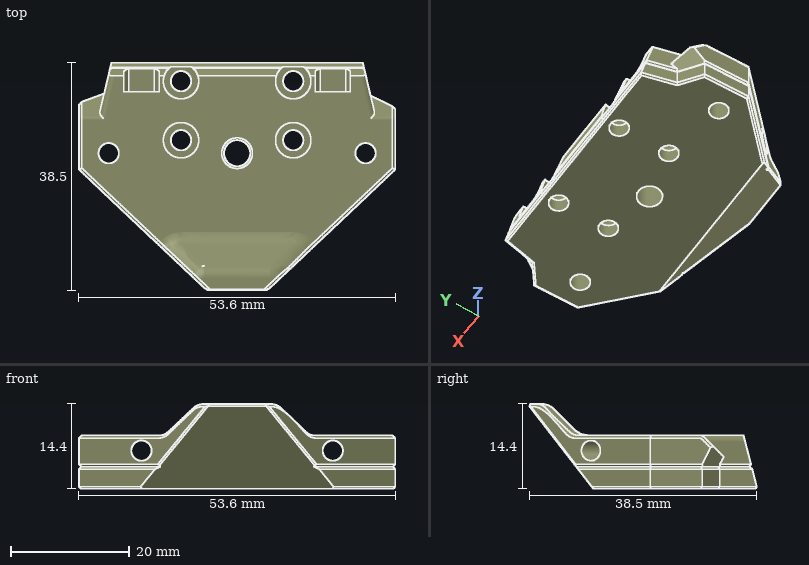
import cadquery as cq
width = 53.59
half_width = width / 2
length = 38.55
back_y = 15.35
front_y = back_y - length
deck_z = 9.1
top_z = 14.4
seam_z = 3.75
underside_chamfer = 0.35
groove_depth = 0.4
deck_chamfer = 0.5
margin = 1
stock_size = 4 * width

back_half_width = 21.3
tongue_flare = 0.2345
corner_y = -2.75
diagonal_run = 1.058
step_y = 6.07
step_slope = 0.735

back_slope = 0.2586
overhang_y = -12.35
lip_tip_z = 14.01
overhang_slope = (overhang_y - front_y) / lip_tip_z
back_y_at_base = back_y + back_slope * underside_chamfer

ear_bevel_y = 6.07
ear_under_z = 4.15
left_ear_undercut = 1.0
right_ear_undercut = 0.5
edge_round = 1.1

lip_half_width = 12.4
lip_back_y = -14.6
lip_radius = 3.0
overhang_chamfer = 0.2

centre_hole_d = 4.4
centre_countersink_d = 5.2
screw_d = 3.4
counterbore_d = 6.0
counterbore_floor_z = 3.0
screw_x = 9.5
screw_ys = (2.2, 12.2)
side_hole_x = 21.75
cross_hole_x = 16.2
cross_hole_z = 6.48
pocket_width = 6.0
pocket_front_y = 10.45
pocket_floor_z = 4.4


def tongue_half_width(y):
    return back_half_width + tongue_flare * (back_y - y)


def diagonal_half_width(y):
    return half_width - diagonal_run * (corner_y - y)


def symmetric_prism(right_side, height):
    """Extrude an outline given by its +X points, ordered from back to front."""
    left_side = [(-x, y) for x, y in reversed(right_side)]
    return cq.Workplane("XY").polyline(right_side + left_side).close().extrude(height)


def side_profile():
    """Region between the slanted back face and the overhanging front face."""
    return (
        cq.Workplane("YZ")
        .polyline([
            (back_y_at_base, 0),
            (overhang_y, 0),
            (overhang_y - overhang_slope * top_z, top_z),
            (back_y_at_base - back_slope * top_z, top_z),
        ])
        .close()
        .extrude(width, both=True)
    )


def front_points():
    nose_y = overhang_y - overhang_slope * top_z - margin
    return [(half_width, corner_y), (diagonal_half_width(nose_y), nose_y)]


def height_band(z_low, z_high):
    band = cq.Workplane("XY").workplane(offset=z_low).rect(stock_size, stock_size)
    return band.extrude(z_high - z_low)


def lower_layer():
    """Bottom layer, with a slanted shoulder between each side and the tongue."""
    run = half_width - back_half_width - tongue_flare * (back_y - step_y)
    inward = run / (1 - tongue_flare * step_slope)
    shoulder_x = half_width - inward
    shoulder_y = step_y + step_slope * inward
    outline = [
        (tongue_half_width(back_y + margin), back_y + margin),
        (shoulder_x, shoulder_y),
        (half_width, step_y),
    ] + front_points()
    layer = symmetric_prism(outline, seam_z).intersect(side_profile())
    layer = layer.faces("<Z").edges("not <Y").chamfer(underside_chamfer)
    return layer.faces(">Z").edges("not <Y").chamfer(groove_depth)


def half_space(origin, normal):
    """Large block on the side of a plane that its normal points to."""
    plane = cq.Plane(origin=origin, xDir=(normal[1], -normal[0], 0), normal=normal)
    return cq.Workplane(plane).rect(stock_size, stock_size).extrude(width)


def upper_band(solid):
    return solid.intersect(side_profile()).intersect(height_band(seam_z, top_z))


def tongue():
    """Back of the upper layer, with rounded sides and a slanted back face."""
    outline = [(tongue_half_width(y), y) for y in (back_y + margin, corner_y)]
    block = upper_band(symmetric_prism(outline, deck_z))
    block = block.faces("<Z").edges("not <Y").chamfer(groove_depth)
    side_edges = block.faces(">Z").edges("not #X").edges("not |X")
    return side_edges.fillet(edge_round)


def lip_stock():
    """Wide deck slab with a sloped lip whose hips, top and foot are rounded."""
    rise = top_z - deck_z
    reach = 2 * width
    top_half_width = lip_half_width - diagonal_run * rise
    lip = (
        cq.Workplane("XY")
        .workplane(offset=deck_z)
        .center(0, lip_back_y - reach / 2)
        .rect(2 * lip_half_width, reach)
        .workplane(offset=rise)
        .center(0, -rise / 2)
        .rect(2 * top_half_width, reach - rise)
        .loft(ruled=True)
    )
    lip = lip.edges("not (<Z or <Y)").fillet(lip_radius)
    slab = height_band(0, deck_z).union(lip)
    foot = cq.selectors.BoxSelector(
        (-lip_half_width - margin, margin - reach, deck_z - groove_depth),
        (lip_half_width + margin, lip_back_y + margin, deck_z + groove_depth),
        boundingbox=False,
    )
    return slab.edges(foot).fillet(lip_radius)


def wall_edges(block):
    """Edges of the straight and diagonal outer walls that are not upright."""
    return block.faces("#Z").faces("not #X").edges("not |Z")


def spans_lip(edge):
    """True for an edge that climbs from below the deck to near the top of the lip."""
    box = edge.BoundingBox()
    return box.zmin < deck_z < box.zmax and box.zmax > top_z - 2 * deck_chamfer


def main_block():
    """Upper layer in front of the tongue, with pointed ears and the lip."""
    bevel = half_space((0, ear_bevel_y, deck_z), (0, 1, 1))
    stock = lip_stock().cut(bevel)
    bevel_edge = cq.selectors.NearestToPointSelector((0, ear_bevel_y, deck_z))
    stock = stock.edges(bevel_edge).fillet(edge_round)

    outline = [(half_width, ear_bevel_y + deck_z - seam_z)] + front_points()
    block = upper_band(stock.intersect(symmetric_prism(outline, top_z)))
    for side, undercut in ((-1, left_ear_undercut), (1, right_ear_undercut)):
        ear_root = (side * half_width, ear_bevel_y, ear_under_z)
        block = block.cut(half_space(ear_root, (side * step_slope, 1, -undercut)))

    rim = [edge for edge in wall_edges(block).vals() if edge.BoundingBox().zmin > ear_under_z]
    nose = block.edges(">Z and <Y").vals()
    block = block.newObject(rim + nose).chamfer(deck_chamfer)

    seam = [edge for edge in wall_edges(block).vals() if edge.BoundingBox().zmax < ear_under_z]
    block = block.newObject(seam).chamfer(groove_depth)

    sharp = [edge for edge in wall_edges(block).vals() if spans_lip(edge)]
    return block.newObject(sharp).chamfer(overhang_chamfer)


def drill(part, x, y, diameter):
    hole = cq.Workplane("XY").center(x, y).circle(diameter / 2).extrude(top_z)
    return part.cut(hole)


def cut_centre_hole(part):
    part = drill(part, 0, 0, centre_hole_d)
    depth = (centre_countersink_d - centre_hole_d) / 2
    cone = cq.Solid.makeCone(
        centre_hole_d / 2,
        centre_countersink_d / 2,
        depth,
        pnt=cq.Vector(0, 0, deck_z - depth),
    )
    return part.cut(cq.Workplane(cone))


def cut_counterbored_hole(part, x, y):
    part = drill(part, x, y, screw_d)
    bore = (
        cq.Workplane("XY")
        .workplane(offset=counterbore_floor_z)
        .center(x, y)
        .circle(counterbore_d / 2)
        .extrude(top_z)
    )
    return part.cut(bore)


def cut_cross_hole(part, x):
    """Hole along Y ending in a wider, flat-floored pocket open to the top and back."""
    hole = (
        cq.Workplane("XZ")
        .center(x, cross_hole_z)
        .circle(screw_d / 2)
        .extrude(width, both=True)
    )
    radius = pocket_width / 2
    bore = (
        cq.Workplane("XZ", origin=(x, pocket_front_y, cross_hole_z))
        .circle(radius)
        .extrude(-width)
    )
    slot = (
        cq.Workplane("XY", origin=(x, pocket_front_y, cross_hole_z))
        .box(pocket_width, width, top_z, centered=(True, False, False))
    )
    pocket = bore.union(slot).intersect(height_band(pocket_floor_z, 2 * top_z))
    return part.cut(hole).cut(pocket)


result = lower_layer().union(tongue()).union(main_block())
result = cut_centre_hole(result)
for side in (-1, 1):
    for screw_y in screw_ys:
        result = cut_counterbored_hole(result, side * screw_x, screw_y)
    result = drill(result, side * side_hole_x, 0, screw_d)
    result = cut_cross_hole(result, side * cross_hole_x)